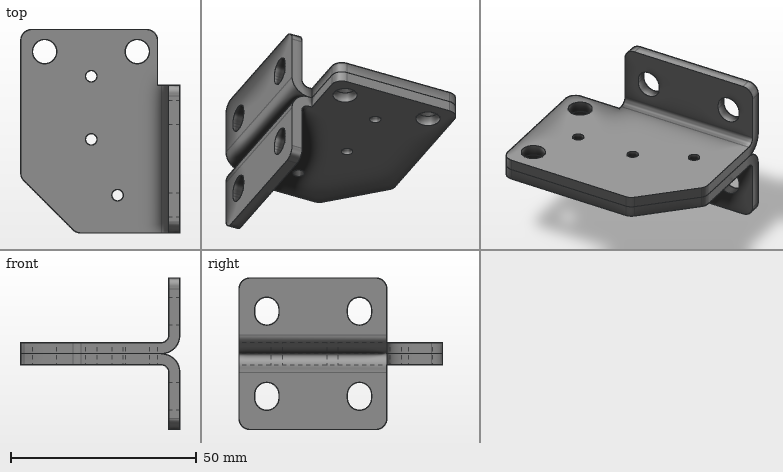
import cadquery as cq

plate_length = 55.0
overall_width = 43.0
overall_height = 41.0

thickness = 3.0
bend_inner_radius = 2.0
bend_outer_radius = bend_inner_radius + thickness
corner_radius = 3.0

plate_width = 37.0
chamfer_leg = 15.0

flange_length = 40.0
flange_height = overall_height / 2
bend_start_x = overall_width - bend_outer_radius
flange_inner_x = overall_width - thickness

mount_hole_diameter = 6.5
mount_hole_pitch = 25.0
first_mount_hole_x = 6.5
mount_hole_y = plate_length - 6.0
mount_hole_points = [
    (first_mount_hole_x, mount_hole_y),
    (first_mount_hole_x + mount_hole_pitch, mount_hole_y),
]
small_hole_diameter = 3.0
small_hole_points = [(19.1, 42.35), (19.1, 25.3), (26.2, 10.25)]

slot_width = mount_hole_diameter
slot_height = 7.5
slot_center_z = 11.5
first_slot_y = 7.55
slot_points = [
    (first_slot_y, slot_center_z),
    (first_slot_y + mount_hole_pitch, slot_center_z),
]


def make_plate():
    """Flat plate with a cut corner, up to the start of the bend."""
    plate = (
        cq.Workplane("XY")
        .moveTo(chamfer_leg, 0)
        .lineTo(bend_start_x, 0)
        .lineTo(bend_start_x, flange_length)
        .lineTo(plate_width, flange_length)
        .lineTo(plate_width, plate_length)
        .lineTo(0, plate_length)
        .lineTo(0, chamfer_leg)
        .close()
        .extrude(thickness)
    )
    rounded_corners = [
        (chamfer_leg, 0),
        (0, chamfer_leg),
        (0, plate_length),
        (plate_width, plate_length),
    ]
    for x, y in rounded_corners:
        corner = cq.selectors.NearestToPointSelector((x, y, thickness / 2))
        plate = plate.edges("|Z").edges(corner).fillet(corner_radius)
    return plate


def make_bend():
    """Quarter-round bend that turns the sheet upward."""
    return (
        cq.Workplane("XZ")
        .moveTo(bend_start_x, 0)
        .radiusArc((overall_width, bend_outer_radius), -bend_outer_radius)
        .lineTo(flange_inner_x, bend_outer_radius)
        .radiusArc((bend_start_x, thickness), bend_inner_radius)
        .close()
        .extrude(-flange_length)
    )


def make_flange():
    """Upright flange with rounded upper corners."""
    return (
        cq.Workplane("XY")
        .box(thickness, flange_length, flange_height - bend_outer_radius, centered=False)
        .edges("|X and >Z")
        .fillet(corner_radius)
        .translate((flange_inner_x, 0, bend_outer_radius))
    )


def make_plate_holes(points, diameter):
    return cq.Workplane("XY").pushPoints(points).circle(diameter / 2).extrude(thickness)


def make_flange_slots():
    return (
        cq.Workplane("YZ", origin=(flange_inner_x, 0, 0))
        .pushPoints(slot_points)
        .slot2D(slot_height, slot_width, 90)
        .extrude(thickness)
    )


def make_bracket():
    """One bent bracket whose plate rests on Z = 0 and whose flange rises."""
    return (
        make_plate()
        .union(make_bend())
        .union(make_flange())
        .cut(make_plate_holes(mount_hole_points, mount_hole_diameter))
        .cut(make_plate_holes(small_hole_points, small_hole_diameter))
        .cut(make_flange_slots())
    )


brackets = []
for is_lower in (False, True):
    bracket = make_bracket()
    if is_lower:
        bracket = bracket.mirror("XY")
    brackets.append(bracket.solids().val())

result = cq.Compound.makeCompound(brackets)